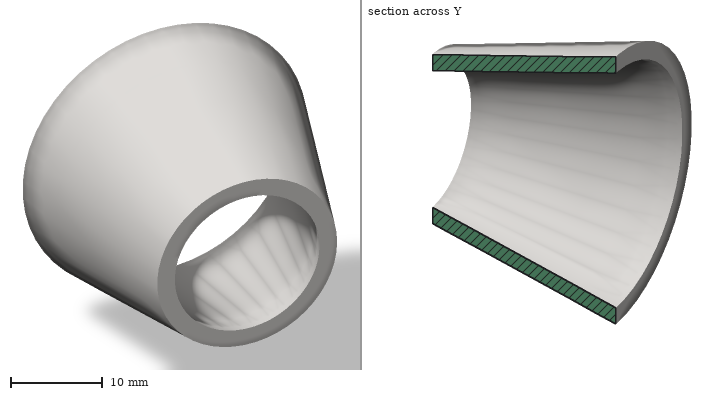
import cadquery as cq

length = 23.0
large_diameter = 33.7
small_diameter = 21.33
radial_wall = 2.1

large_radius = large_diameter / 2
small_radius = small_diameter / 2

wall_section = (
    cq.Workplane("XY")
    .moveTo(0, large_radius - radial_wall)
    .lineTo(0, large_radius)
    .lineTo(length, small_radius)
    .lineTo(length, small_radius - radial_wall)
    .close()
)

result = wall_section.revolve(360, (0, 0, 0), (1, 0, 0))